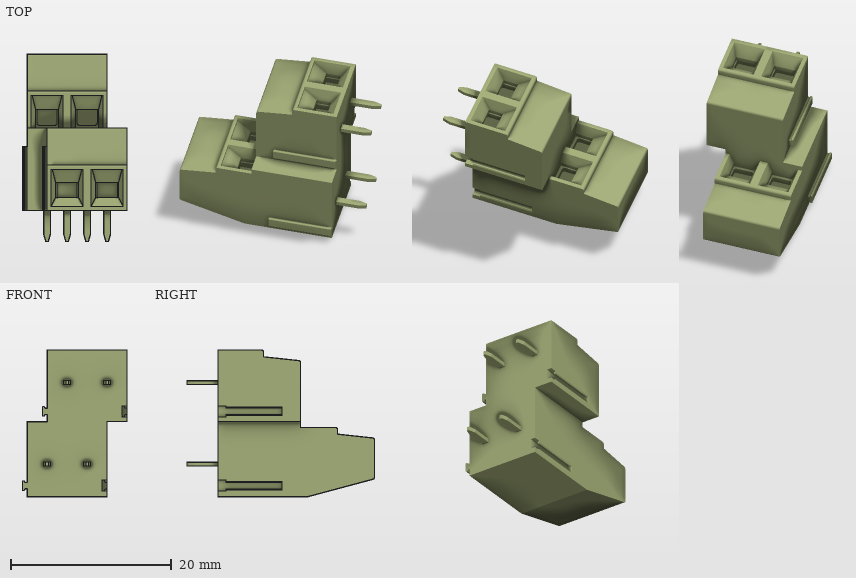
import cadquery as cq


tier_width = 10.0
poles_per_tier = 2
pole_pitch = tier_width / poles_per_tier
tier_shift = pole_pitch / 2
upper_length = 10.32
tier_setback = 9.22
lower_length = upper_length + tier_setback
total_height = 18.3
tier_drop = 9.65
lower_top = total_height - tier_drop
tier_joint = 9.35
shoulder_setback = 4.6
shoulder_drop = 0.85
front_edge_drop = 1.33
chin_height = 2.22
chin_start = 11.23
edge_radius = 0.28

mouth_width = 4.0
throat_width = 2.85
funnel_depth = 1.38
mouth_lip = 0.35
throat_depth = 1.95
recess_width = 2.53
recess_depth = 2.71
recess_radius = 0.3
mouth_back = 0.54
mouth_front = 5.17
throat_back = 1.64
throat_front = 3.53
recess_back = 1.43
lower_throat_front = 12.64

pin_width = 0.87
pin_thickness = 0.51
pin_length = 3.85
pin_taper = 0.94
pin_tip_width = 0.33
pin_root = 0.47
lower_pin_height = 4.07
upper_pin_height = 14.23

joint_length = 8.0
joint_height = 1.38
joint_rise = 9.27
tongue_depth = 0.58
tongue_height = 1.22
tongue_neck_height = 0.8
tongue_head_depth = 0.23
tongue_slope_depth = 0.12
corner_chamfer = 0.07
groove_depth = 0.63
groove_height = 1.35
lip_height = 0.28
lip_root_depth = 0.37
lip_crest_depth = 0.23
lip_nose_depth = 0.1
lip_edge_height = 0.15
lip_setback = 1.0


def extrude_x(points, x_start, x_end):
    """Prism along X from a (y, z) outline."""
    return cq.Workplane("YZ").workplane(offset=x_start).polyline(points).close().extrude(x_end - x_start)


def extrude_y(points, y_start, y_end):
    """Prism along Y from an (x, z) outline."""
    return cq.Workplane("XZ", origin=(0, y_start, 0)).polyline(points).close().extrude(y_start - y_end)


def box(x_range, y_range, z_range):
    """Axis-aligned block from its limits."""
    size = [high - low for low, high in (x_range, y_range, z_range)]
    corner = (x_range[0], y_range[0], z_range[0])
    return cq.Workplane("XY").box(*size, centered=False).translate(corner)


def tier(left, length, bottom, top, chin):
    """One housing tier with a stepped, sloping top and, if wanted, a sloping chin."""
    shoulder = length - shoulder_setback
    outline = [
        (0, top),
        (shoulder, top),
        (shoulder, top - shoulder_drop),
        (length, top - front_edge_drop),
    ]
    rounded = [(shoulder, top), (length, top - front_edge_drop)]
    if chin:
        outline += [(length, chin_height), (chin_start, bottom)]
        rounded.append((length, chin_height))
    else:
        outline.append((length, bottom))
    outline.append((0, bottom))
    body = extrude_x(outline, left, left + tier_width)
    middle = left + tier_width / 2
    for y, z in rounded:
        corner = body.edges("|X").edges(cq.selectors.NearestToPointSelector((middle, y, z)))
        body = corner.fillet(edge_radius)
    return body


def pocket(center_x, top, mouth, throat, recess_start):
    """Screw access pocket; mouth and throat are (back, front) limits in Y."""
    half_mouth = mouth_width / 2
    half_throat = throat_width / 2
    funnel_floor = top - funnel_depth
    side_taper = extrude_y(
        [
            (center_x - half_mouth, top),
            (center_x + half_mouth, top),
            (center_x + half_throat, funnel_floor),
            (center_x - half_throat, funnel_floor),
        ],
        mouth[0],
        mouth[1],
    )
    end_taper = extrude_x(
        [
            (mouth[0], top),
            (mouth[1], top),
            (mouth[1], top - mouth_lip),
            (throat[1], funnel_floor),
            (throat[0], funnel_floor),
        ],
        center_x - half_mouth,
        center_x + half_mouth,
    )
    shaft = box(
        (center_x - half_throat, center_x + half_throat),
        throat,
        (top - throat_depth, funnel_floor),
    )
    recess = box(
        (center_x - recess_width / 2, center_x + recess_width / 2),
        (recess_start, throat[1]),
        (top - recess_depth, top - throat_depth),
    )
    recess = recess.edges("|Z and <Y").fillet(recess_radius)
    return side_taper.intersect(end_taper).union(shaft).union(recess)


def pin(center_x, center_z):
    """Flat solder pin with a tapered tip."""
    half = pin_width / 2
    half_tip = pin_tip_width / 2
    taper_start = pin_taper - pin_length
    outline = [
        (-half, pin_root),
        (-half, taper_start),
        (-half_tip, -pin_length),
        (half_tip, -pin_length),
        (half, taper_start),
        (half, pin_root),
    ]
    blade = cq.Workplane("XY").polyline(outline).close().extrude(pin_thickness)
    return blade.translate((center_x, 0, center_z - pin_thickness / 2))


def tongue(face_x, center_z):
    """T-shaped rail standing out from the left side."""
    half = tongue_height / 2
    half_neck = tongue_neck_height / 2
    tip = face_x - tongue_depth
    head_back = tip + tongue_head_depth
    upper_half = [
        (tip, half - corner_chamfer),
        (tip + corner_chamfer, half),
        (head_back, half),
        (head_back + tongue_slope_depth, half_neck),
        (face_x, half_neck),
    ]
    lower_half = [(x, -z) for x, z in reversed(upper_half)]
    outline = [(x, center_z + z) for x, z in upper_half + lower_half]
    return extrude_y(outline, 0, joint_length)


def groove(face_x, center_z):
    """Slot in the right side: plain at the pin face, then narrowed by lips."""
    half = groove_height / 2
    floor = face_x - groove_depth
    upper_half = [
        (floor, half - corner_chamfer),
        (floor + corner_chamfer, half),
        (face_x - lip_root_depth, half),
        (face_x - lip_crest_depth, half - lip_height),
        (face_x - lip_nose_depth, half - lip_height),
        (face_x, half - lip_edge_height),
    ]
    lower_half = [(x, -z) for x, z in reversed(upper_half)]
    outline = [(x, center_z + z) for x, z in upper_half + lower_half]
    entry = box((floor, face_x), (0, lip_setback), (center_z - half, center_z + half))
    return extrude_y(outline, 0, joint_length).union(entry)


lower_tier = tier(0, lower_length, 0, lower_top, chin=True)
riser = box((0, tier_width), (0, upper_length), (0, tier_joint))
upper_tier = tier(tier_shift, upper_length, tier_joint, total_height, chin=False)
result = lower_tier.union(riser).union(upper_tier)

for pole in range(poles_per_tier):
    lower_x = pole_pitch / 2 + pole * pole_pitch
    upper_x = lower_x + tier_shift
    result = result.cut(
        pocket(upper_x, total_height, (mouth_back, mouth_front), (throat_back, throat_front), recess_back)
    )
    result = result.cut(
        pocket(
            lower_x,
            lower_top,
            (upper_length, mouth_front + tier_setback),
            (upper_length, lower_throat_front),
            recess_back + tier_setback,
        )
    )
    result = result.union(pin(lower_x, lower_pin_height))
    result = result.union(pin(upper_x, upper_pin_height))

for left, joint_z in ((0, joint_height), (tier_shift, joint_height + joint_rise)):
    result = result.union(tongue(left, joint_z))
    result = result.cut(groove(left + tier_width, joint_z))